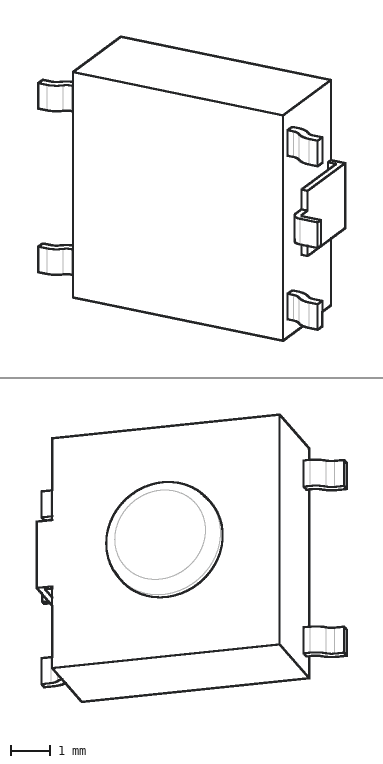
import cadquery as cq
import math

overall_width = 8.0
body_width = 6.02
body_depth = 2.6
body_height = 6.2

button_diameter = 3.01
button_height = 0.5
button_round = 0.3

lead_reach = (overall_width - body_width) / 2
lead_width = 0.7
lead_thickness = 0.25
lead_rise = 0.25
lead_spacing = 4.5
lead_shoulder = 0.17
lead_bend_run = 0.58

bracket_width = 1.79
bracket_reach = 0.41
bracket_thickness = 0.18
flange_thickness = 0.16
bracket_bottom = 0.56
tab_outer_radius = 0.25

wall_x = body_width / 2
joint_overlap = 0.08


def extrude_across_z(sketch, width):
    """Extrude an XY outline symmetrically about Z = 0."""
    return sketch.extrude(width / 2, both=True)


def make_body():
    return cq.Workplane("XY").box(
        body_width, body_depth, body_height, centered=(True, False, True)
    )


def make_button():
    return (
        cq.Workplane("XZ", origin=(0, body_depth, 0))
        .circle(button_diameter / 2)
        .extrude(-button_height)
        .faces(">Y")
        .edges()
        .fillet(button_round)
    )


def make_lead():
    """Gull-wing lead on the +X wall, swept along two equal and opposite bends."""
    bend_angle = 2 * math.atan(lead_rise / lead_bend_run)
    bend_radius = lead_bend_run / (2 * math.sin(bend_angle))
    foot_y = lead_thickness / 2
    shoulder_y = foot_y + lead_rise
    bend_start = wall_x + lead_shoulder
    bend_middle = bend_start + lead_bend_run / 2
    bend_end = bend_start + lead_bend_run
    half_x = bend_radius * math.sin(bend_angle / 2)
    half_drop = bend_radius * (1 - math.cos(bend_angle / 2))
    start_x = wall_x - joint_overlap
    path = (
        cq.Workplane("XY")
        .moveTo(start_x, shoulder_y)
        .lineTo(bend_start, shoulder_y)
        .threePointArc(
            (bend_start + half_x, shoulder_y - half_drop),
            (bend_middle, (shoulder_y + foot_y) / 2),
        )
        .threePointArc((bend_end - half_x, foot_y + half_drop), (bend_end, foot_y))
        .lineTo(wall_x + lead_reach, foot_y)
    )
    return (
        cq.Workplane("YZ", origin=(start_x, shoulder_y, 0))
        .rect(lead_thickness, lead_width)
        .sweep(path)
    )


def make_bracket():
    """Wide angle plate on the +X wall, ending in a narrow tab bent outward."""
    outer_x = wall_x + bracket_reach
    inner_x = outer_x - bracket_thickness
    plate = extrude_across_z(
        cq.Workplane("XY").polyline([
            (wall_x - joint_overlap, body_depth),
            (outer_x, body_depth),
            (outer_x, bracket_bottom),
            (inner_x, bracket_bottom),
            (inner_x, body_depth - flange_thickness),
            (wall_x - joint_overlap, body_depth - flange_thickness),
        ]).close(),
        bracket_width,
    )

    tab_inner_radius = tab_outer_radius - bracket_thickness
    bend_x = inner_x + tab_outer_radius
    diagonal = math.sqrt(0.5)
    tip_x = wall_x + lead_reach
    tab = extrude_across_z(
        cq.Workplane("XY")
        .moveTo(inner_x, bracket_bottom)
        .lineTo(inner_x, tab_outer_radius)
        .threePointArc(
            (bend_x - tab_outer_radius * diagonal, tab_outer_radius * (1 - diagonal)),
            (bend_x, 0),
        )
        .lineTo(tip_x, 0)
        .lineTo(tip_x, bracket_thickness)
        .lineTo(bend_x, bracket_thickness)
        .threePointArc(
            (bend_x - tab_inner_radius * diagonal, tab_outer_radius - tab_inner_radius * diagonal),
            (outer_x, tab_outer_radius),
        )
        .lineTo(outer_x, bracket_bottom)
        .close(),
        lead_width,
    )
    return plate.union(tab)


result = make_body().union(make_button()).union(make_bracket())
right_lead = make_lead()
left_lead = right_lead.mirror("YZ")
for lead_z in (-lead_spacing / 2, lead_spacing / 2):
    for lead in (left_lead, right_lead):
        result = result.union(lead.translate((0, 0, lead_z)))